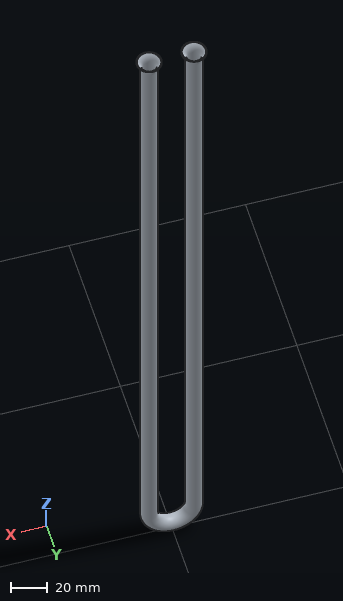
import cadquery as cq
import math

total_height = 424.0
leg_spacing = 25.5
bore_diameter = 8.0
wall = 0.97
flare_diameter = 14.0
flare_height = 5.5
rim_width = 0.5

bore_radius = bore_diameter / 2
tube_radius = bore_radius + wall
flare_radius = flare_diameter / 2
rim_inner_radius = flare_radius - rim_width
bend_radius = leg_spacing / 2
top_z = total_height / 2
bend_z = -top_z + bend_radius + tube_radius
flare_z = top_z - flare_height


def u_rod(radius):
    """Solid round rod along the U-shaped centreline, up to the flares."""
    legs = (
        cq.Workplane("XY", origin=(0, 0, bend_z))
        .pushPoints([(-bend_radius, 0), (bend_radius, 0)])
        .circle(radius)
        .extrude(flare_z - bend_z)
    )
    bend = (
        cq.Workplane("XY", origin=(0, 0, bend_z))
        .center(-bend_radius, 0)
        .circle(radius)
        .revolve(180, (bend_radius, 0, 0), (bend_radius, -1, 0))
    )
    return legs.union(bend)


def tangent_arc_middle(start_radius, end_radius):
    """Middle of the arc that leaves the tube vertically and curves out to the rim."""
    spread = end_radius - start_radius
    arc_radius = (spread**2 + flare_height**2) / (2 * spread)
    half_angle = math.asin(flare_height / arc_radius) / 2
    middle_radius = start_radius + arc_radius * (1 - math.cos(half_angle))
    return middle_radius, flare_z + arc_radius * math.sin(half_angle)


def flare(leg_x):
    """Trumpet-shaped end whose inner and outer arcs start tangent to the tube."""
    outer_middle = tangent_arc_middle(tube_radius, flare_radius)
    inner_middle = tangent_arc_middle(bore_radius, rim_inner_radius)
    return (
        cq.Workplane("XZ")
        .moveTo(bore_radius, flare_z)
        .lineTo(tube_radius, flare_z)
        .threePointArc(outer_middle, (flare_radius, top_z))
        .lineTo(rim_inner_radius, top_z)
        .threePointArc(inner_middle, (bore_radius, flare_z))
        .close()
        .revolve(360, (0, 0, 0), (0, 1, 0))
        .translate((leg_x, 0, 0))
    )


result = u_rod(tube_radius).cut(u_rod(bore_radius))
for leg_x in (-bend_radius, bend_radius):
    result = result.union(flare(leg_x))